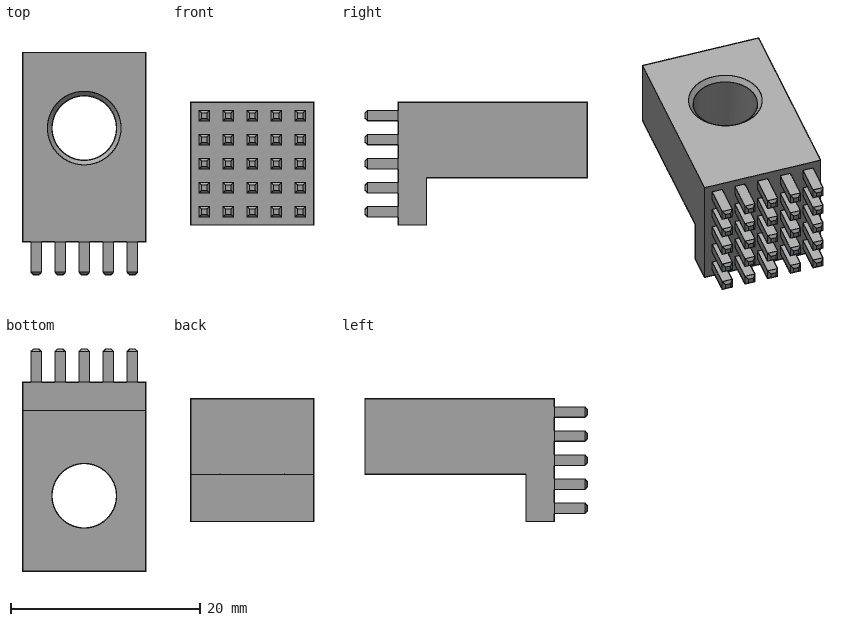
import cadquery as cq

total_length = 23.5
width = 13.0
height = 13.0
pin_length = 3.5
body_length = total_length - pin_length
bar_height = 8.0
foot_thickness = 3.0

hole_diameter = 6.8
hole_chamfer = 0.5
countersink_angle = 90
hole_from_back = 8.0

pins_per_side = 5
pin_pitch = 2.54
pin_side = 1.13
pin_tip_chamfer = 0.28
pin_embed = 0.24

top_z = height / 2
bottom_z = -height / 2
step_z = top_z - bar_height
hole_y = body_length - hole_from_back


def make_body():
    """L-shaped profile in the YZ plane, extruded symmetrically across X."""
    return (
        cq.Workplane("YZ")
        .moveTo(0, bottom_z)
        .lineTo(foot_thickness, bottom_z)
        .lineTo(foot_thickness, step_z)
        .lineTo(body_length, step_z)
        .lineTo(body_length, top_z)
        .lineTo(0, top_z)
        .close()
        .extrude(width / 2, both=True)
    )


def cut_mounting_hole(body):
    """Vertical through hole with a countersink at the top face."""
    return (
        body.faces(">Z")
        .workplane(origin=(0, hole_y, top_z))
        .cskHole(hole_diameter, hole_diameter + 2 * hole_chamfer, countersink_angle)
    )


def make_pins():
    """Grid of square pins, each ending in a tip bevelled on all four sides."""
    return (
        cq.Workplane("XZ", origin=(0, pin_embed, 0))
        .rarray(pin_pitch, pin_pitch, pins_per_side, pins_per_side)
        .rect(pin_side, pin_side)
        .extrude(pin_embed + pin_length)
        .faces("<Y")
        .chamfer(pin_tip_chamfer)
    )


result = cut_mounting_hole(make_body()).union(make_pins())